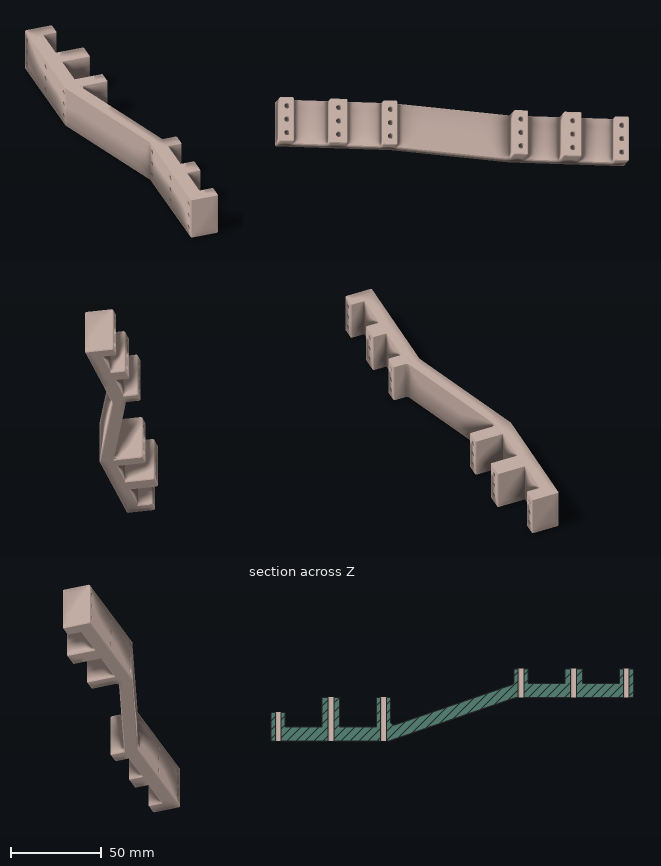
import cadquery as cq
import math

length = 200.0
height = 25.0
plate_thickness = 8.0
step_offset = 24.0

bend_distance = 65.0
web_slope = step_offset / (length - 2 * bend_distance)

edge_chamfer = 0.5
corner_radius = 2.0

post_pitch = 29.0
end_post_width = 8.0
middle_post_width = 10.0
post_widths = (end_post_width, middle_post_width, end_post_width)
left_centers = [end_post_width / 2 + i * post_pitch for i in range(3)]
right_centers = [length - x for x in left_centers]
short_post = 8.0
tall_post = 16.5
left_projections = (short_post, tall_post, tall_post)
right_projections = (short_post, short_post, short_post)

hole_diameter = 3.0
hole_edge_distance = 5.0
hole_pitch_z = height / 2 - hole_edge_distance


def make_band():
    """Two flat plates joined by a sloped web, with the two outer front corners chamfered."""
    path = [
        (0, 0),
        (bend_distance, 0),
        (length - bend_distance, step_offset),
        (length, step_offset),
    ]
    far_side = [(x, y + plate_thickness) for x, y in reversed(path)]
    band = cq.Workplane("XY").polyline(path + far_side).close().extrude(height)
    for x, y in (path[0], path[-1]):
        corner = cq.selectors.NearestToPointSelector((x, y, height / 2))
        band = band.edges("|Z").edges(corner).chamfer(edge_chamfer)
    return band


def make_post(center_x, base_y, width, projection):
    """Full-height post rooted halfway into its plate, with chamfered tip corners."""
    root_y = base_y + plate_thickness / 2
    depth = plate_thickness / 2 + projection
    post = cq.Workplane("XY").box(width, depth, height, centered=(True, False, False))
    post = post.faces(">Y").edges("|Z").chamfer(edge_chamfer)
    return post.translate((center_x, root_y, 0))


def make_corner_fillet(x, side):
    """Concave fillet between the web and a post; side is the X direction the web runs away."""
    corner = cq.Vector(x, plate_thickness + (x - bend_distance) * web_slope)
    along_post = cq.Vector(0, 1)
    along_web = cq.Vector(side, side * web_slope).normalized()
    half_angle = along_post.getAngle(along_web) / 2
    tangent_length = corner_radius / math.tan(half_angle)
    arc_distance = corner_radius / math.sin(half_angle) - corner_radius
    arc_middle = corner + (along_post + along_web).normalized() * arc_distance
    post_tangent = corner + along_post * tangent_length
    web_tangent = corner + along_web * tangent_length
    return (
        cq.Workplane("XY", origin=(0, 0, edge_chamfer))
        .moveTo(corner.x, corner.y)
        .lineTo(post_tangent.x, post_tangent.y)
        .threePointArc((arc_middle.x, arc_middle.y), (web_tangent.x, web_tangent.y))
        .close()
        .extrude(height - 2 * edge_chamfer)
    )


def make_holes():
    """A column of three through holes centered on each post."""
    points = [
        (x, height / 2 + row * hole_pitch_z)
        for x in left_centers + right_centers
        for row in (-1, 0, 1)
    ]
    total_depth = step_offset + plate_thickness + short_post
    return (
        cq.Workplane("XZ")
        .pushPoints(points)
        .circle(hole_diameter / 2)
        .extrude(-total_depth)
    )


result = make_band()
for x, width, projection in zip(left_centers, post_widths, left_projections):
    result = result.union(make_post(x, 0, width, projection))
for x, width, projection in zip(right_centers, post_widths, right_projections):
    result = result.union(make_post(x, step_offset, width, projection))

result = result.faces("<Z or >Z").edges().chamfer(edge_chamfer)

inner_side = left_centers[-1] + end_post_width / 2
result = result.union(make_corner_fillet(inner_side, 1))
result = result.union(make_corner_fillet(length - inner_side, -1))

result = result.cut(make_holes())